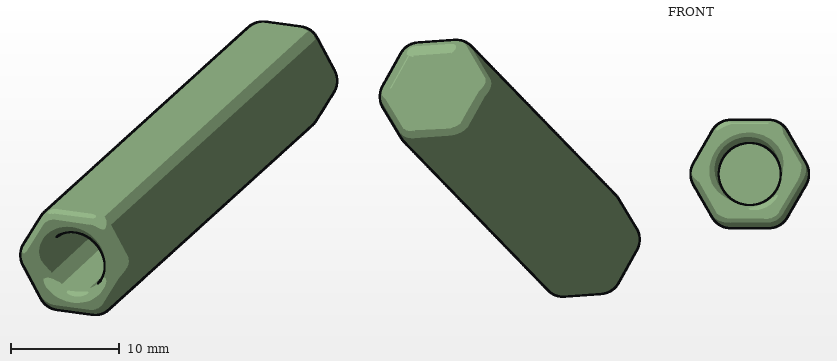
import cadquery as cq
import math

length = 55.0
across_flats = 10.0
corner_radius = 2.0
open_end_radius = 1.0
bore_diameter = 5.7
bore_depth = 20.0
mouth_radius = 1.05

across_corners = across_flats / math.cos(math.pi / 6)


def hexagonal_bar():
    """Hexagonal bar along Y with flats facing up and down, open end at Y = 0."""
    bar = cq.Workplane("XZ").polygon(6, across_corners).extrude(-length)
    bar = bar.edges("|Y or >Y").fillet(corner_radius)
    return bar.faces("<Y").edges().fillet(open_end_radius)


def bore_cutter():
    """Flat-bottomed blind bore that flares out to a rounded mouth at Y = 0."""
    bore_radius = bore_diameter / 2
    profile = (
        cq.Workplane("XY")
        .lineTo(bore_radius + mouth_radius, 0)
        .radiusArc((bore_radius, mouth_radius), mouth_radius)
        .lineTo(bore_radius, bore_depth)
        .lineTo(0, bore_depth)
        .close()
    )
    return profile.revolve(360, (0, 0, 0), (0, 1, 0))


result = hexagonal_bar().cut(bore_cutter())